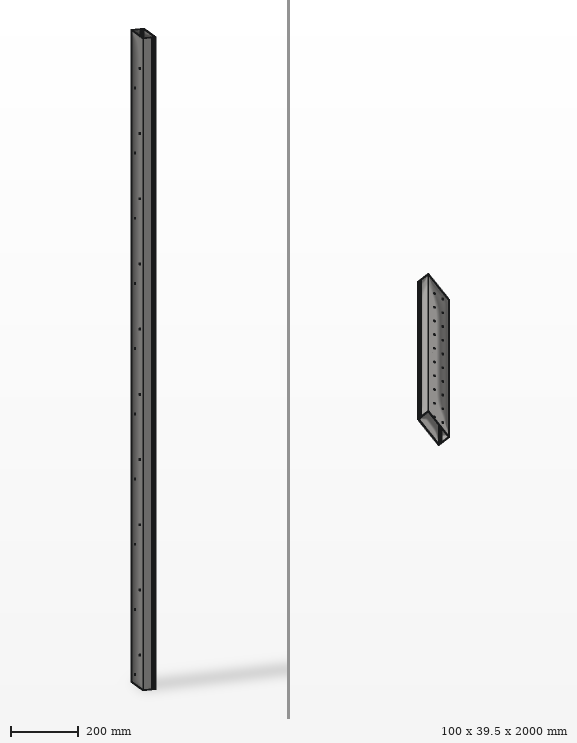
import cadquery as cq

LENGTH = 2000.0
WIDTH = 100.0
SHEET = 1.0

BASE_DEPTH = 32.0
COVER_RISE = 7.5
COVER_FLANGE = 10.5
DEPTH = BASE_DEPTH + COVER_RISE

FLOOR_Y = -DEPTH / 2
COVER_Y = DEPTH / 2
RIM_Y = FLOOR_Y + BASE_DEPTH
FLANGE_EDGE_Y = COVER_Y - COVER_FLANGE

OUTER_X = WIDTH / 2
INNER_X = OUTER_X - SHEET
LINER_INNER_X = INNER_X - SHEET

HOLE_DIAMETER = 5.0
HOLE_PITCH = 200.0
HOLES_PER_ROW = 10
HOLE_ROW_X = 20.0
LEFT_ROW_START_Z = 30.0
RIGHT_ROW_START_Z = 100.0


def symmetric_profile(right_half):
    """Extrude along Z the outline made of the points at +X and their mirror images."""
    left_half = [(-x, y) for x, y in reversed(right_half)]
    return cq.Workplane("XY").polyline(right_half + left_half).close().extrude(LENGTH)


def cut_fixing_holes(body):
    centers = []
    for i in range(HOLES_PER_ROW):
        centers.append((-HOLE_ROW_X, LEFT_ROW_START_Z + i * HOLE_PITCH))
        centers.append((HOLE_ROW_X, RIGHT_ROW_START_Z + i * HOLE_PITCH))
    drills = (
        cq.Workplane("XZ", origin=(0, FLOOR_Y, 0))
        .pushPoints(centers)
        .circle(HOLE_DIAMETER / 2)
        .extrude(-SHEET)
    )
    return body.cut(drills)


def make_base():
    """Channel whose side walls step inward by one sheet to pass inside the cover's flanges."""
    channel = symmetric_profile([
        (OUTER_X, FLOOR_Y),
        (OUTER_X, FLANGE_EDGE_Y),
        (INNER_X, FLANGE_EDGE_Y),
        (INNER_X, RIM_Y),
        (LINER_INNER_X, RIM_Y),
        (LINER_INNER_X, FLANGE_EDGE_Y - SHEET),
        (INNER_X, FLANGE_EDGE_Y - SHEET),
        (INNER_X, FLOOR_Y + SHEET),
    ])
    return cut_fixing_holes(channel)


def make_cap(half_width, edge_y, top_y):
    """U-shaped channel opening toward -Y, from its outer face at top_y to its free edges at edge_y."""
    return symmetric_profile([
        (half_width, top_y),
        (half_width, edge_y),
        (half_width - SHEET, edge_y),
        (half_width - SHEET, top_y - SHEET),
    ])


base = make_base()
cover = make_cap(OUTER_X, FLANGE_EDGE_Y, COVER_Y)
liner = make_cap(INNER_X, RIM_Y, COVER_Y - SHEET)

result = cq.Compound.makeCompound([base.val(), cover.val(), liner.val()])